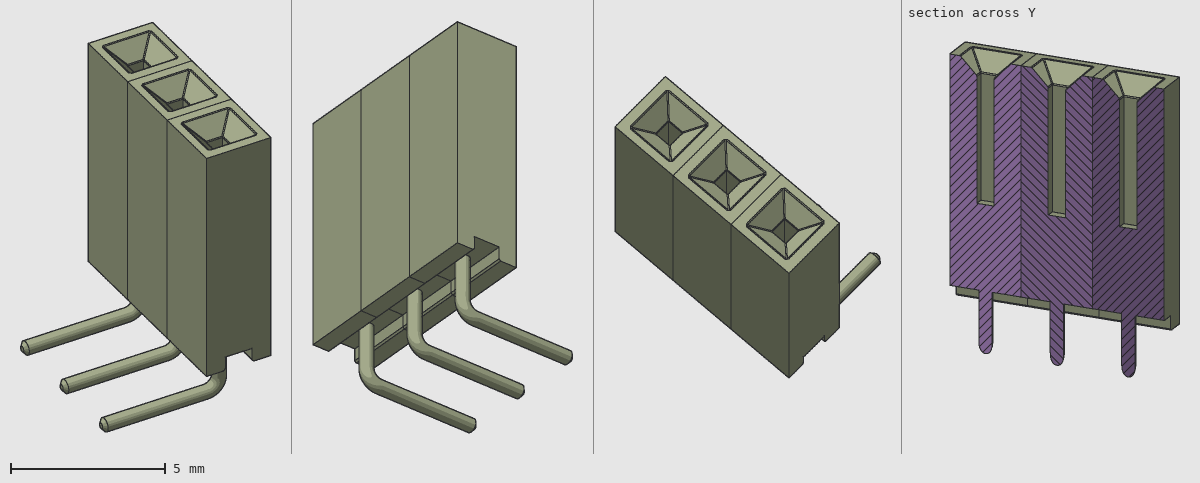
import cadquery as cq

POLE_COUNT = 3
ROW_LENGTH = 7.62
PITCH = ROW_LENGTH / POLE_COUNT

HOUSING_DEPTH = 2.4
TOTAL_HEIGHT = 10.35
STANDOFF = 1.83

FUNNEL_MOUTH = 1.79
HOLE_SIDE = 0.6
FUNNEL_DEPTH = (FUNNEL_MOUTH - HOLE_SIDE) / 2
FUNNEL_CHAMFER = 0.026
HOLE_DEPTH = 5.0
SELECT_MARGIN = 0.01

CHANNEL_WIDTH = 1.0
CHANNEL_HEIGHT = 0.52
CHANNEL_EDGE_CHAMFER = 0.06

PIN_DIAMETER = 0.5
PIN_RADIUS = PIN_DIAMETER / 2
BEND_RADIUS = 0.5
TOTAL_DEPTH = 5.6
TIP_CHAMFER_LENGTH = 0.12
TIP_RADIUS = 0.1

PIN_TAIL_Z = PIN_RADIUS
PIN_TIP_Y = HOUSING_DEPTH / 2 - TOTAL_DEPTH
CHANNEL_ROOF_Z = STANDOFF + CHANNEL_HEIGHT


def make_housing():
    """Block with a through channel in its underside."""
    half_depth = HOUSING_DEPTH / 2
    half_channel = CHANNEL_WIDTH / 2
    chamfer = CHANNEL_EDGE_CHAMFER
    return (
        cq.Workplane("YZ")
        .moveTo(-half_depth, TOTAL_HEIGHT)
        .lineTo(-half_depth, STANDOFF)
        .lineTo(-half_channel - chamfer, STANDOFF)
        .lineTo(-half_channel, STANDOFF + chamfer)
        .lineTo(-half_channel, CHANNEL_ROOF_Z)
        .lineTo(half_channel, CHANNEL_ROOF_Z)
        .lineTo(half_channel, STANDOFF + chamfer)
        .lineTo(half_channel + chamfer, STANDOFF)
        .lineTo(half_depth, STANDOFF)
        .lineTo(half_depth, TOTAL_HEIGHT)
        .close()
        .extrude(PITCH / 2, both=True)
    )


def make_socket():
    """Cutter for the entry funnel and the square contact hole."""
    funnel = (
        cq.Workplane("XY", origin=(0, 0, TOTAL_HEIGHT))
        .rect(FUNNEL_MOUTH, FUNNEL_MOUTH)
        .workplane(offset=-FUNNEL_DEPTH)
        .rect(HOLE_SIDE, HOLE_SIDE)
        .loft(ruled=True)
    )
    hole = (
        cq.Workplane("XY", origin=(0, 0, TOTAL_HEIGHT - FUNNEL_DEPTH))
        .rect(HOLE_SIDE, HOLE_SIDE)
        .extrude(FUNNEL_DEPTH - HOLE_DEPTH)
    )
    return funnel.union(hole)


def make_pin():
    """Round pin that drops from the channel roof, bends toward -Y and ends in a cone."""
    shoulder_y = PIN_TIP_Y + TIP_CHAMFER_LENGTH
    centre_line = (
        cq.Workplane("YZ")
        .moveTo(0, CHANNEL_ROOF_Z)
        .lineTo(0, PIN_TAIL_Z + BEND_RADIUS)
        .radiusArc((-BEND_RADIUS, PIN_TAIL_Z), BEND_RADIUS)
        .lineTo(shoulder_y, PIN_TAIL_Z)
    )
    shaft = (
        cq.Workplane("XY", origin=(0, 0, CHANNEL_ROOF_Z))
        .circle(PIN_RADIUS)
        .sweep(centre_line)
    )
    tip = (
        cq.Workplane("XZ", origin=(0, shoulder_y, PIN_TAIL_Z))
        .circle(PIN_RADIUS)
        .workplane(offset=TIP_CHAMFER_LENGTH)
        .circle(TIP_RADIUS)
        .loft()
    )
    return shaft.union(tip)


def chamfer_funnel(housing):
    """Break every edge of the funnel, from the rim down to the mouth of the hole."""
    half_mouth = FUNNEL_MOUTH / 2
    funnel_bottom = TOTAL_HEIGHT - FUNNEL_DEPTH
    edge_centres = cq.selectors.BoxSelector(
        (-half_mouth - SELECT_MARGIN, -half_mouth - SELECT_MARGIN, funnel_bottom - SELECT_MARGIN),
        (half_mouth + SELECT_MARGIN, half_mouth + SELECT_MARGIN, TOTAL_HEIGHT + SELECT_MARGIN),
    )
    return housing.edges(edge_centres).chamfer(FUNNEL_CHAMFER)


def make_contact(pole):
    """One pole: housing block and its pin as a single solid."""
    x = (pole - (POLE_COUNT - 1) / 2) * PITCH
    block = chamfer_funnel(make_housing().cut(make_socket()))
    return block.union(make_pin()).translate((x, 0, 0))


contacts = [make_contact(pole).solids().val() for pole in range(POLE_COUNT)]

result = cq.Compound.makeCompound(contacts)